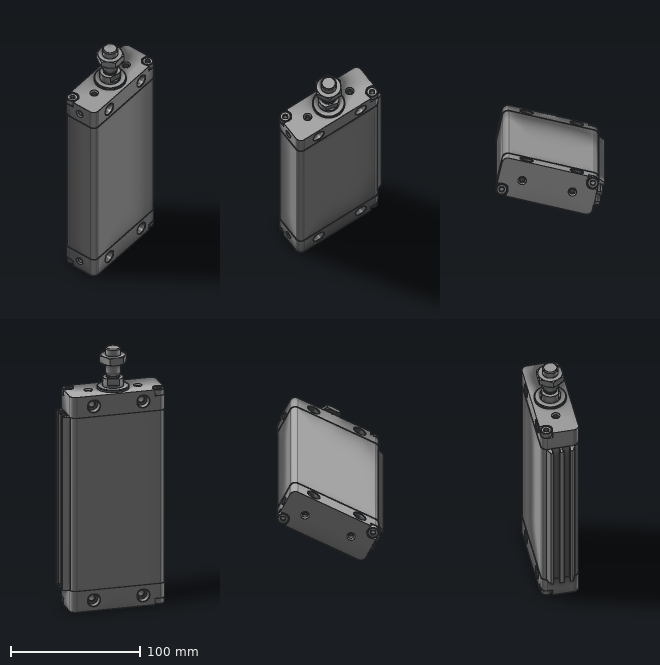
import cadquery as cq
import math

total_height = 209.0
cap_height = 17.1
cap_top = 176.0
block_width = 30.0
block_depth = 76.7
tube_inset = 0.5
corner_radius = 4.5
tube_bottom = cap_height
tube_top = cap_top - cap_height

rail_height = 5.2
rail_inner_x = 7.1
rail_lip_x = 6.7
rail_tip_x = 8.8
rail_base_x = 11.0
rail_lip_height = 1.7
centre_rail_width = 1.9
centre_rail_head_width = 3.5

screw_inset = 4.5
screw_diameter = 8.5
screw_head_height = 4.8
screw_chamfer = 0.5
screw_pocket_diameter = 9.8
screw_pocket_depth = 5.0
screw_opening_width = 8.5
socket_diameter = 4.0
socket_depth = 2.0
socket_tip_angle = 120.0

hole_spacing = 40.0
hole_from_end = 8.5
mount_hole_diameter = 5.0
mount_seat_diameter = 6.0
mount_bore_diameter = 9.8
mount_mouth_diameter = 10.7
mount_bore_depth = 6.0

port_diameter = 4.2
port_mouth_diameter = 6.5
port_depth = 5.0

collar_diameter = 25.0
collar_top = 177.9
collar_chamfer = 0.6
rod_diameter = 16.0
rod_shoulder = 185.0
rod_flat_width = 13.0
rod_flat_bottom = 179.7
rod_flat_angle = 14.0
neck_diameter = 10.0
neck_top = 186.6
neck_flare_height = 0.5
relief_diameter = 10.7
relief_top = 189.0
thread_diameter = 12.0
thread_chamfer = 0.8
nut_width = 19.0
nut_thickness = 6.3
nut_bottom = 196.9
nut_bevel_height = 0.6


def cylinder(diameter, bottom, top):
    return cq.Workplane("XY").workplane(offset=bottom).circle(diameter / 2).extrude(top - bottom)


def turned(outline):
    """Solid of revolution about Z from an outline of (radius, z) points."""
    return cq.Workplane("XZ").polyline(outline).close().revolve(360, (0, 0, 0), (0, 1, 0))


def rounded_block(bottom, top, inset=0):
    width = block_width - 2 * inset
    depth = block_depth - 2 * inset
    block = cq.Workplane("XY").workplane(offset=bottom).rect(width, depth).extrude(top - bottom)
    return block.edges("|Z").fillet(corner_radius - inset)


def countersunk_hole(diameter, mouth_diameter, depth, mouth, direction):
    """Flat-bottomed hole whose mouth widens in a 45 degree countersink."""
    radius = diameter / 2
    mouth_radius = mouth_diameter / 2
    hole = cq.Solid.makeCylinder(radius, depth, mouth, direction)
    sink = cq.Solid.makeCone(mouth_radius, radius, mouth_radius - radius, mouth, direction)
    return cq.Workplane(hole).union(cq.Workplane(sink))


def threaded_port(mouth, direction):
    return countersunk_hole(port_diameter, port_mouth_diameter, port_depth, mouth, direction)


def mount_hole(side, y, z):
    """Half of a through hole along X, counterbored from the face on the given side."""
    inward = cq.Vector(-side, 0, 0)
    face = cq.Vector(side * block_width / 2, y, z)
    seat = face + inward * mount_bore_depth
    hole_depth = block_width / 2 - mount_bore_depth
    bore = countersunk_hole(mount_bore_diameter, mount_mouth_diameter, mount_bore_depth, face, inward)
    return bore.union(countersunk_hole(mount_hole_diameter, mount_seat_diameter, hole_depth, seat, inward))


def corner_screw(x, y):
    """Screw head with a conical-bottomed socket, standing at the top end of a cap."""
    pocket_floor = cap_height - screw_pocket_depth
    head_top = pocket_floor + screw_head_height
    head = cylinder(screw_diameter, pocket_floor, head_top).faces(">Z").edges().chamfer(screw_chamfer)
    socket = cylinder(socket_diameter, head_top - socket_depth, head_top)
    tip_depth = socket_diameter / 2 / math.tan(math.radians(socket_tip_angle / 2))
    tip_centre = cq.Vector(0, 0, head_top - socket_depth)
    tip = cq.Workplane(cq.Solid.makeCone(socket_diameter / 2, 0, tip_depth, tip_centre, cq.Vector(0, 0, -1)))
    return head.cut(socket).cut(tip).translate((x, y, 0))


def corner_pocket(x, y):
    """Round recess for a screw head, opened out to the two adjoining faces of the block."""
    floor = cap_height - screw_pocket_depth
    width = screw_opening_width
    reach_x = math.copysign(width, x)
    reach_y = math.copysign(width, y)
    plane = cq.Workplane("XY").workplane(offset=floor)
    toward_x = plane.center(reach_x / 2, 0).rect(width, width).extrude(screw_pocket_depth)
    toward_y = plane.center(0, reach_y / 2).rect(width, width).extrude(screw_pocket_depth)
    round_part = cylinder(screw_pocket_diameter, floor, cap_height)
    return round_part.union(toward_x).union(toward_y).translate((x, y, 0))


def make_cap():
    """Cap with its end face up and its inner face at Z = 0."""
    cap = rounded_block(0, cap_height)
    hole_z = cap_height - hole_from_end

    for y in (-hole_spacing / 2, hole_spacing / 2):
        for side in (-1, 1):
            cap = cap.cut(mount_hole(side, y, hole_z))
        cap = cap.cut(threaded_port(cq.Vector(0, y, cap_height), cq.Vector(0, 0, -1)))
    cap = cap.cut(threaded_port(cq.Vector(0, -block_depth / 2, hole_z), cq.Vector(0, 1, 0)))

    screw_x = block_width / 2 - screw_inset
    screw_y = block_depth / 2 - screw_inset
    for x, y in ((-screw_x, -screw_y), (screw_x, screw_y)):
        cap = cap.cut(corner_pocket(x, y)).union(corner_screw(x, y))
    return cap


def make_rod_cap():
    collar = cylinder(collar_diameter, cap_top, collar_top).faces(">Z").edges().chamfer(collar_chamfer)
    cap = make_cap().translate((0, 0, tube_top)).union(collar)
    return cap.cut(cylinder(rod_diameter, tube_top, collar_top))


def make_rear_cap():
    return make_cap().mirror("XY").translate((0, 0, cap_height))


def make_tube():
    tube = rounded_block(tube_bottom, tube_top, tube_inset)
    length = tube_top - tube_bottom
    face_y = block_depth / 2
    root_y = face_y - corner_radius / 2
    tip_y = face_y + rail_height
    lip_y = tip_y - rail_lip_height
    plane = cq.Workplane("XY").workplane(offset=tube_bottom)

    for side in (-1, 1):
        outline = [
            (rail_inner_x, root_y),
            (rail_inner_x, lip_y),
            (rail_lip_x, lip_y),
            (rail_lip_x, tip_y),
            (rail_tip_x, tip_y),
            (rail_base_x, face_y),
            (rail_base_x, root_y),
        ]
        rail = plane.polyline([(side * x, y) for x, y in outline]).close().extrude(length)
        tube = tube.union(rail)

    stem = plane.center(0, (root_y + tip_y) / 2).rect(centre_rail_width, tip_y - root_y).extrude(length)
    head = plane.center(0, (lip_y + tip_y) / 2).rect(centre_rail_head_width, rail_lip_height).extrude(length)
    return tube.union(stem).union(head)


def make_rod():
    shank = cylinder(rod_diameter, tube_top, rod_shoulder)
    flat_height = rod_shoulder - rod_flat_bottom
    band = cq.Workplane("XY").box(2 * rod_diameter, 2 * rod_diameter, flat_height, centered=(True, True, False))
    core = cq.Workplane("XY").box(rod_flat_width, 3 * rod_diameter, flat_height, centered=(True, True, False))
    flats = band.cut(core).rotate((0, 0, 0), (0, 0, 1), -rod_flat_angle)
    shank = shank.cut(flats.translate((0, 0, rod_flat_bottom)))
    end_outline = [
        (0, rod_shoulder),
        (relief_diameter / 2, rod_shoulder),
        (neck_diameter / 2, rod_shoulder + neck_flare_height),
        (neck_diameter / 2, neck_top),
        (relief_diameter / 2, neck_top),
        (thread_diameter / 2, relief_top),
        (thread_diameter / 2, total_height - thread_chamfer),
        (thread_diameter / 2 - thread_chamfer, total_height),
        (0, total_height),
    ]
    return shank.union(turned(end_outline))


def make_nut():
    corner_diameter = nut_width / math.cos(math.pi / 6)
    nut_top = nut_bottom + nut_thickness
    blank = cq.Workplane("XY").workplane(offset=nut_bottom).polygon(6, corner_diameter).extrude(nut_thickness)
    blank = blank.rotate((0, 0, 0), (0, 0, 1), 90)
    envelope = turned([
        (0, nut_bottom),
        (nut_width / 2, nut_bottom),
        (corner_diameter / 2, nut_bottom + nut_bevel_height),
        (corner_diameter / 2, nut_top - nut_bevel_height),
        (nut_width / 2, nut_top),
        (0, nut_top),
    ])
    return blank.intersect(envelope).cut(cylinder(thread_diameter, nut_bottom, nut_top))


rear_cap = make_rear_cap()
tube = make_tube()
rod_cap = make_rod_cap()
rod = make_rod()
nut = make_nut()

result = cq.Compound.makeCompound([rear_cap.val(), tube.val(), rod_cap.val(), rod.val(), nut.val()])